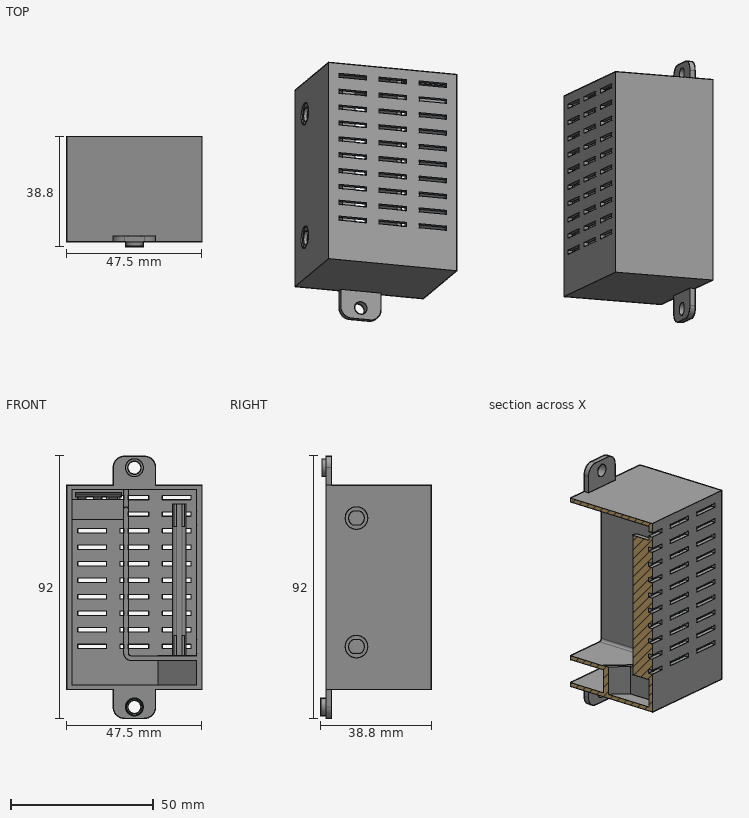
import cadquery as cq
import math

OVERALL_HEIGHT = 92.0
BOX_WIDTH = 47.5
BOX_HEIGHT = 71.8
BOX_DEPTH = 37.0
SIDE_WALL = 1.9
WALL = 1.7

INNER_RIGHT = BOX_WIDTH / 2 - SIDE_WALL
INNER_TOP = BOX_HEIGHT / 2 - WALL
BACK = BOX_DEPTH - WALL

LUG_WIDTH = 14.9
LUG_THICKNESS = 2.0
LUG_RADIUS = 4.0
LUG_OVERLAP = 0.9
LUG_HOLE_INSET = 4.05
LUG_HOLE_Z = OVERALL_HEIGHT / 2 - LUG_HOLE_INSET
BOSS_DIAMETER = 6.3
LUG_HOLE_DIAMETER = 4.5
UPPER_BOSS_HEIGHT = 1.4
LOWER_BOSS_HEIGHT = 1.8
COUNTERSINK = 0.55

PARTITION = 1.7
PARTITION_LEFT = -3.8
PARTITION_INNER_LEFT = PARTITION_LEFT + PARTITION
SHELF_TOP = -24.0
SHELF_BOTTOM = SHELF_TOP - PARTITION
BEND_RADIUS = 1.0
NOTCH_BOTTOM = 28.15
NOTCH_DEPTH = 18.4

DUCT_LEFT = 8.3
DUCT_START_Y = 7.3
DUCT_ANGLE = 48.0
DUCT_RISE = 0.2

VENT_WIDTH = 10.0
VENT_HEIGHT = 1.5
VENT_COLUMNS = 3
VENT_ROWS = 10
VENT_COLUMN_PITCH = 14.8
VENT_ROW_PITCH = 5.8
VENT_TOP_Z = 31.5

RAIL_X = 15.7
RAIL_WIDTH = 4.8
RAIL_DEPTH = 7.4
RAIL_RADIUS = 1.4
RAIL_STEP = 0.3
RAIL_RIDGE = RAIL_WIDTH - 2 * RAIL_RADIUS
RAIL_END_LENGTH = 7.9
RAIL_END_ZS = (25.2, -20.8)
RAIL_TOP = RAIL_END_ZS[0] + RAIL_END_LENGTH / 2
SIDE_HOLE_Y = 10.8
SIDE_HOLE_ZS = (24.3, -20.8)
SIDE_HOLE_DIAMETER = 5.5
SIDE_HOLE_HEIGHT = 5.0
SIDE_RECESS_DIAMETER = 7.9
SIDE_RECESS_DEPTH = 0.55

BLOCK_TOP = 30.8
BLOCK_HEIGHT = 7.0
BLOCK_DEPTH = 9.2
BAR_LEFT = -20.7
BAR_WIDTH = 16.1
BAR_TOP = 33.3
BAR_BOTTOM = 31.7
BAR_LIP = 0.55
BAR_DEPTH = 12.9
TOOTH_COUNT = 3
TOOTH_MIDDLE = -12.9
TOOTH_PITCH = 5.5
TOOTH_WIDTH = 2.9
TOOTH_RADIUS = 1.0


def block(x0, x1, y0, y1, z0, z1):
    """Rectangular solid between opposite corners."""
    return cq.Workplane("XY").box(x1 - x0, y1 - y0, z1 - z0, centered=False).translate((x0, y0, z0))


def make_shell():
    outer = block(-BOX_WIDTH / 2, BOX_WIDTH / 2, 0, BOX_DEPTH, -BOX_HEIGHT / 2, BOX_HEIGHT / 2)
    return outer.cut(block(-INNER_RIGHT, INNER_RIGHT, 0, BACK, -INNER_TOP, INNER_TOP))


def make_vents():
    columns_middle = (VENT_COLUMNS - 1) / 2
    vents = cq.Workplane("XY")
    for column in range(VENT_COLUMNS):
        x = (column - columns_middle) * VENT_COLUMN_PITCH
        for row in range(VENT_ROWS):
            z = VENT_TOP_Z - row * VENT_ROW_PITCH
            vents = vents.add(
                block(x - VENT_WIDTH / 2, x + VENT_WIDTH / 2, BACK, BOX_DEPTH,
                      z - VENT_HEIGHT / 2, z + VENT_HEIGHT / 2)
            )
    return vents.combine()


def front_cylinder(diameter, z, y_front, y_back):
    """Cylinder along Y on the centre plane of the box."""
    return (
        cq.Workplane("XZ", origin=(0, y_back, z))
        .circle(diameter / 2)
        .extrude(y_back - y_front)
    )


def make_lug(side, boss_height, countersink):
    """Lug above (side = 1) or below (side = -1) the box, with a drilled boss."""
    root = BOX_HEIGHT / 2 - LUG_OVERLAP
    tip = OVERALL_HEIGHT / 2
    z = side * LUG_HOLE_Z
    low, high = sorted((side * root, side * tip))
    lug = block(-LUG_WIDTH / 2, LUG_WIDTH / 2, 0, LUG_THICKNESS, low, high)
    lug = lug.faces(">Z" if side > 0 else "<Z").edges("|Y").fillet(LUG_RADIUS)
    lug = lug.union(front_cylinder(BOSS_DIAMETER, z, -boss_height, LUG_THICKNESS))
    lug = lug.cut(front_cylinder(LUG_HOLE_DIAMETER, z, -boss_height, LUG_THICKNESS))
    if countersink:
        hole_rim = cq.selectors.RadiusNthSelector(0)
        lug = lug.faces("<Y").edges(hole_rim).chamfer(countersink)
    return lug


def make_partition():
    """Upright panel and shelf joined by a rounded bend, with a round-edged notch at the top."""
    outline = (
        cq.Workplane("XZ")
        .moveTo(PARTITION_LEFT, INNER_TOP)
        .lineTo(PARTITION_LEFT, SHELF_BOTTOM)
        .lineTo(INNER_RIGHT, SHELF_BOTTOM)
        .lineTo(INNER_RIGHT, SHELF_TOP)
        .lineTo(PARTITION_INNER_LEFT, SHELF_TOP)
        .lineTo(PARTITION_INNER_LEFT, INNER_TOP)
        .close()
    )
    partition = outline.extrude(-BACK)
    inner_corner = cq.selectors.NearestToPointSelector((PARTITION_INNER_LEFT, BACK / 2, SHELF_TOP))
    partition = partition.edges(inner_corner).fillet(BEND_RADIUS)
    outer_corner = cq.selectors.NearestToPointSelector((PARTITION_LEFT, BACK / 2, SHELF_BOTTOM))
    partition = partition.edges(outer_corner).fillet(BEND_RADIUS + PARTITION)

    edge_radius = PARTITION / 2
    edge_x = PARTITION_LEFT + edge_radius
    edge_y = NOTCH_DEPTH + edge_radius
    edge_z = NOTCH_BOTTOM - edge_radius
    notch = block(PARTITION_LEFT, PARTITION_INNER_LEFT, 0, edge_y, edge_z, INNER_TOP)
    bottom_edge = cq.Workplane("XZ").center(edge_x, edge_z).circle(edge_radius).extrude(-edge_y)
    back_edge = (
        cq.Workplane("XY", origin=(edge_x, edge_y, edge_z))
        .circle(edge_radius)
        .extrude(INNER_TOP - edge_z)
    )
    return partition.cut(notch).union(bottom_edge).union(back_edge)


def duct_prism(offset, z0, z1):
    """Prism of the duct corner, with its plate and side leg moved inward by offset."""
    slope = math.tan(math.radians(DUCT_ANGLE))
    left = DUCT_LEFT + offset
    start_y = DUCT_START_Y + offset / math.cos(math.radians(DUCT_ANGLE))
    points = [
        (INNER_RIGHT, start_y),
        (left, start_y + slope * (INNER_RIGHT - left)),
        (left, BACK),
        (INNER_RIGHT, BACK),
    ]
    return cq.Workplane("XY", origin=(0, 0, z0)).polyline(points).close().extrude(z1 - z0)


def make_rail():
    left = RAIL_X - RAIL_WIDTH / 2
    right = RAIL_X + RAIL_WIDTH / 2
    front = BACK - RAIL_DEPTH
    rail = block(left, right, front, BACK, SHELF_TOP, RAIL_TOP)
    rail = rail.faces("<Y").edges("|Z").fillet(RAIL_RADIUS)
    for z in RAIL_END_ZS:
        low = z - RAIL_END_LENGTH / 2
        high = z + RAIL_END_LENGTH / 2
        rail = rail.cut(block(left, RAIL_X - RAIL_RIDGE / 2, front, front + RAIL_STEP, low, high))
        rail = rail.cut(block(RAIL_X + RAIL_RIDGE / 2, right, front, front + RAIL_STEP, low, high))
    return rail


def make_side_hole(z):
    """Round hole through the +X wall with flats above and below, recessed from outside."""
    hole = (
        cq.Workplane("YZ", origin=(INNER_RIGHT, SIDE_HOLE_Y, z))
        .circle(SIDE_HOLE_DIAMETER / 2)
        .extrude(SIDE_WALL)
    )
    half = SIDE_HOLE_DIAMETER / 2
    flats = block(INNER_RIGHT, BOX_WIDTH / 2, SIDE_HOLE_Y - half, SIDE_HOLE_Y + half,
                  z - SIDE_HOLE_HEIGHT / 2, z + SIDE_HOLE_HEIGHT / 2)
    recess = (
        cq.Workplane("YZ", origin=(BOX_WIDTH / 2 - SIDE_RECESS_DEPTH, SIDE_HOLE_Y, z))
        .circle(SIDE_RECESS_DIAMETER / 2)
        .extrude(SIDE_RECESS_DEPTH)
    )
    return hole.intersect(flats).union(recess)


def make_toothed_bar():
    """Bar reaching forward from the back wall, with a bevelled lip and round teeth below."""
    front = BACK - BAR_DEPTH
    bevel = BAR_TOP - BAR_LIP - BAR_BOTTOM
    bar = (
        cq.Workplane("YZ", origin=(BAR_LEFT, 0, 0))
        .moveTo(BACK, BAR_TOP)
        .lineTo(front, BAR_TOP)
        .lineTo(front, BAR_TOP - BAR_LIP)
        .lineTo(front + bevel, BAR_BOTTOM)
        .lineTo(BACK, BAR_BOTTOM)
        .close()
        .extrude(BAR_WIDTH)
    )
    for index in range(TOOTH_COUNT):
        x = TOOTH_MIDDLE + (index - (TOOTH_COUNT - 1) / 2) * TOOTH_PITCH
        tooth = (
            cq.Workplane("YZ", origin=(x - TOOTH_WIDTH / 2, front + bevel + TOOTH_RADIUS, BAR_BOTTOM))
            .circle(TOOTH_RADIUS)
            .extrude(TOOTH_WIDTH)
        )
        bar = bar.union(tooth)
    return bar


result = make_shell().cut(make_vents())
result = result.union(make_lug(1, UPPER_BOSS_HEIGHT, 0))
result = result.union(make_lug(-1, LOWER_BOSS_HEIGHT, COUNTERSINK))
result = result.union(make_partition())

result = result.union(duct_prism(0, -INNER_TOP, SHELF_TOP + DUCT_RISE))
result = result.cut(duct_prism(WALL, -INNER_TOP, SHELF_TOP + DUCT_RISE))

result = result.union(make_rail())
for hole_z in SIDE_HOLE_ZS:
    result = result.cut(make_side_hole(hole_z))

result = result.union(
    block(-INNER_RIGHT, PARTITION_LEFT, BACK - BLOCK_DEPTH, BACK, BLOCK_TOP - BLOCK_HEIGHT, BLOCK_TOP)
)
result = result.union(make_toothed_bar())